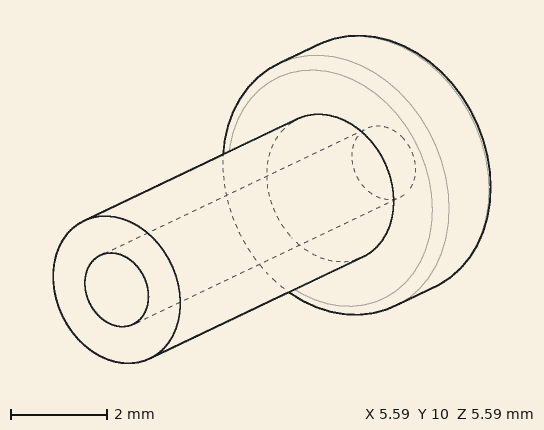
import cadquery as cq

head_diameter = 5.59
head_thickness = 2.0
head_edge_radius = 0.25
shank_diameter = 3.175
bore_diameter = 1.5875
total_length = 10.0
shank_length = total_length - head_thickness


def cylinder_along_y(diameter, start_y, length):
    """Solid cylinder on the Y axis, running from start_y towards +Y."""
    return cq.Workplane("XZ", origin=(0, start_y, 0)).circle(diameter / 2).extrude(-length)


def make_head():
    """Disc with both rims rounded, seated on the end of the shank."""
    disc = cylinder_along_y(head_diameter, shank_length, head_thickness)
    return disc.faces("<Y or >Y").edges().fillet(head_edge_radius)


shank = cylinder_along_y(shank_diameter, 0, shank_length)
bore = cylinder_along_y(bore_diameter, 0, total_length)

result = make_head().union(shank).cut(bore)